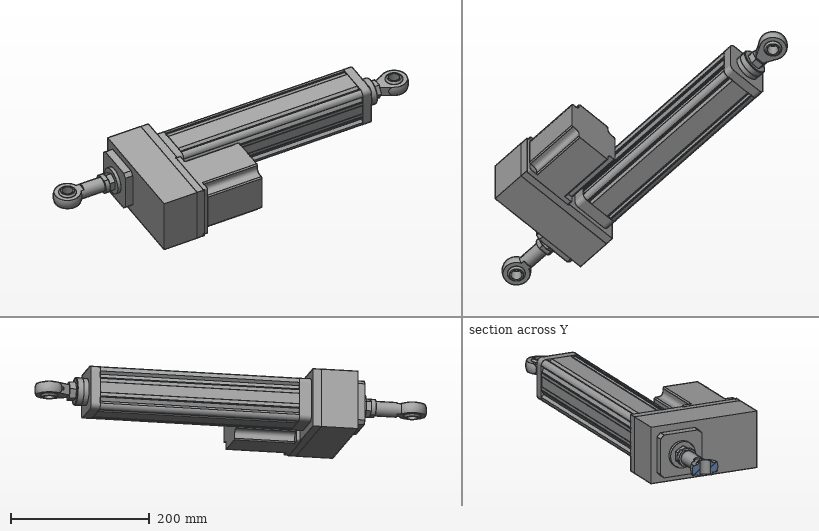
import cadquery as cq
import math


eye_tip_y = 289.25
housing_height = 85.85
housing_length_x = 170.43
housing_left_x = -42.75
housing_right_x = housing_left_x + housing_length_x

hub_front_y = -196.4
flange_front_y = -191.2
housing_front_y = -179.0
cover_front_y = -124.7
cover_rear_y = -112.2
front_cap_rear_y = -94.8
rear_cap_front_y = 199.7
rear_cap_rear_y = 213.6
collar_step_y = 221.0
collar_rear_y = 230.8
rear_nut_rear_y = 240.2

cover_inset = 0.125

cap_size = 64.4
body_size = 64.2
body_corner_radius = 8.0
half_body = body_size / 2

top_groove_inner = 15.2
top_groove_bottom = 18.8
top_groove_depth = 3.6
top_ledge_inner = 21.8
top_ledge_outer = 23.4
top_ledge_depth = 1.2
side_recess_half_width = 7.8
side_recess_depth = 0.8
side_ledge_inner = 13.2
side_ledge_outer = 14.6
side_ledge_depth = 1.0
side_groove_bottom = 20.1
side_groove_outer = 24.0
side_groove_depth = 4.0

flange_width = 66.6
flange_height = 65.0
flange_corner_chamfer = 5.5
hub_diameter = 39.8

collar_base_diameter = 39.4
collar_diameter = 40.0
collar_chamfer = 1.0

nut_across_flats = 24.0
gland_nut_front_y = -205.1
wrench_collar_front_y = -212.2
wrench_collar_diameter = 28.0
wrench_flats_width = 23.2
sleeve_front_y = -244.8
sleeve_diameter = 21.5

eye_radius = 21.0
eye_face_radius = 19.4
eye_thickness = 15.6
eye_bore = 16.0
ball_width = 21.4
ball_face_radius = 10.3
race_radius = 12.9
race_chamfer = 0.8
eye_centre_y = eye_tip_y - eye_radius
neck_half_width = 7.2
flank_angle = math.radians(29)
grease_hole_y = 250.7
grease_hole_diameter = 4.0
grease_hole_depth = 5.0

motor_centre_x = housing_right_x - housing_height / 2
motor_half = housing_height / 2
motor_rear_y = -18.1
motor_front_y = -107.0
motor_plate_front_y = -114.0
motor_plate_width = 83.2
motor_plate_radius = 3.0
motor_notch = 29.0
motor_notch_radius = 6.5
motor_notch_chamfer = 2.0

plug_y = -103.7
plug_across_flats = 10.5
plug_head_end_x = 37.4
plug_stem_diameter = 4.5


def block(width, height, y_start, y_end, centre_x=0.0):
    """Box centred on Z = 0, reaching from y_start to y_end."""
    return (
        cq.Workplane("XY")
        .box(width, y_end - y_start, height)
        .translate((centre_x, (y_start + y_end) / 2, 0))
    )


def cylinder(diameter, y_start, y_end):
    """Cylinder on the actuator axis."""
    plane = cq.Workplane("XZ", origin=(0, y_end, 0))
    return plane.circle(diameter / 2).extrude(y_end - y_start)


def hexagon(across_flats, y_start, y_end, turn=0.0):
    """Hexagonal prism on the actuator axis, corners on X before turning."""
    across_corners = across_flats / math.cos(math.pi / 6)
    prism = cq.Workplane("XZ", origin=(0, y_end, 0)).polygon(6, across_corners).extrude(y_end - y_start)
    return prism.rotate((0, 0, 0), (0, 1, 0), turn)


def cap(y_start, y_end):
    return block(cap_size, cap_size, y_start, y_end).edges("|Y").fillet(body_corner_radius)


def body_groove(points, turn):
    """Groove along the whole body, drawn on the +Z wall and turned about Y."""
    plane = cq.Workplane("XZ", origin=(0, rear_cap_front_y, 0))
    groove = plane.polyline(points).close().extrude(rear_cap_front_y - front_cap_rear_y)
    return groove.rotate((0, 0, 0), (0, 1, 0), turn)


def cylinder_body():
    body = block(body_size, body_size, front_cap_rear_y, rear_cap_front_y)
    body = body.edges("|Y").fillet(body_corner_radius)
    for side in (-1, 1):
        top_groove = [
            (side * top_groove_inner, half_body),
            (side * top_groove_bottom, half_body - top_groove_depth),
            (side * top_ledge_inner, half_body - top_ledge_depth),
            (side * top_ledge_outer, half_body - top_ledge_depth),
            (side * top_ledge_outer, half_body),
        ]
        side_groove = [
            (side * side_ledge_inner, half_body),
            (side * side_ledge_inner, half_body - side_ledge_depth),
            (side * side_ledge_outer, half_body - side_ledge_depth),
            (side * side_groove_bottom, half_body - side_groove_depth),
            (side * side_groove_outer, half_body),
        ]
        for turn in (0, 180):
            body = body.cut(body_groove(top_groove, turn))
        for turn in (90, 270):
            body = body.cut(body_groove(side_groove, turn))
    side_recess = [
        (-side_recess_half_width, half_body),
        (-side_recess_half_width, half_body - side_recess_depth),
        (side_recess_half_width, half_body - side_recess_depth),
        (side_recess_half_width, half_body),
    ]
    for turn in (90, 270):
        body = body.cut(body_groove(side_recess, turn))
    return body


def gear_housing():
    centre_x = (housing_left_x + housing_right_x) / 2
    housing = block(housing_length_x, housing_height, housing_front_y, cover_front_y, centre_x)
    cover_length = housing_length_x - 2 * cover_inset
    cover_height = housing_height - 2 * cover_inset
    cover = block(cover_length, cover_height, cover_front_y, cover_rear_y, centre_x)
    motor_seat = block(motor_plate_width, housing_height, motor_plate_front_y, cover_rear_y, motor_centre_x)
    return housing.union(cover.cut(motor_seat))


def front_flange():
    flange = block(flange_width, flange_height, flange_front_y, housing_front_y)
    flange = flange.edges("|Y").chamfer(flange_corner_chamfer)
    return flange.union(cylinder(hub_diameter, hub_front_y, flange_front_y))


def motor_corner_notch(turn):
    """Rounded corner notch with bevelled lips, running along the motor."""
    lip = motor_notch - motor_notch_chamfer
    lip_depth = motor_half - motor_notch_chamfer
    arc_centre = motor_notch + motor_notch_radius
    arc_middle = arc_centre - motor_notch_radius * math.cos(math.pi / 4)
    notch = (
        cq.Workplane("XZ", origin=(0, motor_rear_y, 0))
        .moveTo(lip, motor_half)
        .lineTo(motor_notch, lip_depth)
        .lineTo(motor_notch, arc_centre)
        .threePointArc((arc_middle, arc_middle), (arc_centre, motor_notch))
        .lineTo(lip_depth, motor_notch)
        .lineTo(motor_half, lip)
        .lineTo(motor_half, motor_half)
        .close()
        .extrude(motor_rear_y - motor_front_y)
    )
    return notch.rotate((0, 0, 0), (0, 1, 0), turn).translate((motor_centre_x, 0, 0))


def motor():
    casing = block(housing_height, housing_height, motor_front_y, motor_rear_y, motor_centre_x)
    for turn in (0, 90, 180, 270):
        casing = casing.cut(motor_corner_notch(turn))
    plate = block(motor_plate_width, housing_height, motor_plate_front_y, motor_front_y, motor_centre_x)
    plate = plate.edges("|Y").fillet(motor_plate_radius)
    return casing.union(plate)


def plug():
    """Hexagonal plug on the front cap with a stem that reaches the motor."""
    cap_face_x = cap_size / 2
    across_corners = plug_across_flats / math.cos(math.pi / 6)
    head = (
        cq.Workplane("YZ", origin=(cap_face_x, plug_y, 0))
        .transformed(rotate=(0, 0, 90))
        .polygon(6, across_corners)
        .extrude(plug_head_end_x - cap_face_x)
    )
    stem = (
        cq.Workplane("YZ", origin=(cap_face_x, plug_y, 0))
        .circle(plug_stem_diameter / 2)
        .extrude(motor_centre_x - motor_half - cap_face_x)
    )
    return head.union(stem)


def eye_head():
    """Solid disc with a barrel-shaped rim, centred on the origin."""
    half_thickness = eye_thickness / 2
    return (
        cq.Workplane("XZ")
        .moveTo(0, -half_thickness)
        .lineTo(eye_face_radius, -half_thickness)
        .threePointArc((eye_radius, 0), (eye_face_radius, half_thickness))
        .lineTo(0, half_thickness)
        .close()
        .revolve(360, (0, 0, 0), (0, 1, 0))
    )


def finish_eye(eye, centre_y):
    """Add the bearing to an eye: race bevels, ball and bore."""
    half_thickness = eye_thickness / 2
    ball_radius = math.hypot(ball_face_radius, ball_width / 2)
    ball = cq.Workplane("XY").sphere(ball_radius)
    ball = ball.intersect(cq.Workplane("XY").box(2 * ball_radius, 2 * ball_radius, ball_width))
    for side in (-1, 1):
        bevel = (
            cq.Workplane("XY", origin=(0, centre_y, side * half_thickness))
            .circle(race_radius)
            .extrude(-side * race_chamfer)
        )
        eye = eye.cut(bevel)
    bore = cq.Workplane("XY").circle(eye_bore / 2).extrude(ball_width, both=True)
    eye = eye.union(ball.translate((0, centre_y, 0)))
    return eye.cut(bore.translate((0, centre_y, 0)))


def rear_eye():
    tangent_x = eye_face_radius * math.cos(flank_angle)
    tangent_y = eye_centre_y - eye_face_radius * math.sin(flank_angle)
    neck = (
        cq.Workplane("XY", origin=(0, 0, -eye_thickness / 2))
        .moveTo(-tangent_x, tangent_y)
        .lineTo(-neck_half_width, rear_nut_rear_y)
        .lineTo(neck_half_width, rear_nut_rear_y)
        .lineTo(tangent_x, tangent_y)
        .close()
        .extrude(eye_thickness)
    )
    eye = eye_head().translate((0, eye_centre_y, 0)).union(neck)
    flank_x = neck_half_width + math.tan(flank_angle) * (grease_hole_y - rear_nut_rear_y)
    grease_hole = (
        cq.Workplane("YZ", origin=(-eye_radius, grease_hole_y, 0))
        .circle(grease_hole_diameter / 2)
        .extrude(eye_radius - flank_x + grease_hole_depth)
    )
    return finish_eye(eye, eye_centre_y).cut(grease_hole)


def front_eye():
    sleeve = cylinder(sleeve_diameter, sleeve_front_y, wrench_collar_front_y)
    neck = cylinder(sleeve_diameter, -eye_centre_y, sleeve_front_y)
    neck = neck.intersect(block(2 * eye_radius, eye_thickness, -eye_centre_y, sleeve_front_y))
    eye = eye_head().translate((0, -eye_centre_y, 0)).union(neck).union(sleeve)
    return finish_eye(eye, -eye_centre_y)


def wrench_collar():
    """Round collar with two wrench flats facing +Z and -Z."""
    collar = cylinder(wrench_collar_diameter, wrench_collar_front_y, gland_nut_front_y)
    flats = block(wrench_collar_diameter, wrench_flats_width, wrench_collar_front_y, gland_nut_front_y)
    return collar.intersect(flats)


def rear_collar():
    base = cylinder(collar_base_diameter, rear_cap_rear_y, collar_step_y)
    collar = cylinder(collar_diameter, collar_step_y, collar_rear_y).faces(">Y").chamfer(collar_chamfer)
    return base.union(collar)


features = [
    cap(cover_rear_y, front_cap_rear_y),
    cap(rear_cap_front_y, rear_cap_rear_y),
    gear_housing(),
    motor(),
    front_flange(),
    plug(),
    rear_collar(),
    hexagon(nut_across_flats, collar_rear_y, rear_nut_rear_y),
    rear_eye(),
    hexagon(nut_across_flats, gland_nut_front_y, hub_front_y, turn=30),
    wrench_collar(),
    front_eye(),
]

result = cylinder_body()
for feature in features:
    result = result.union(feature)